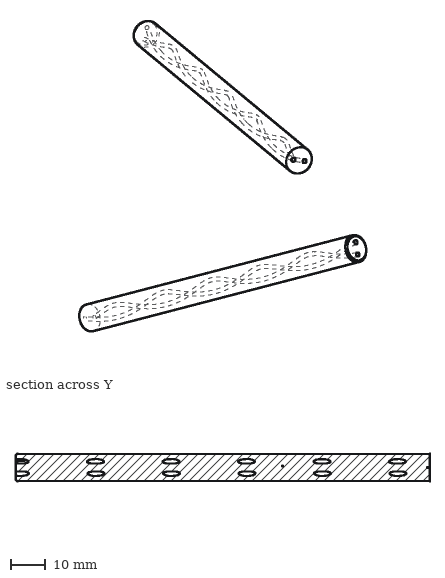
import cadquery as cq
import math

length = 120.0
diameter = 8.0
chamfer = 0.5

hole_diameter = 1.2
hole_circle_diameter = 3.6
hole_tilt = 11.0
helix_angle = 30.0
helix_pitch = math.pi * diameter / math.tan(math.radians(helix_angle))
twist = 360.0 * length / helix_pitch


def make_rod():
    rod = cq.Workplane("YZ", origin=(-length / 2, 0, 0)).circle(diameter / 2).extrude(length)
    return rod.faces("<X").chamfer(chamfer)


def make_holes():
    """Helical bores that run the full length of the rod."""
    radius = hole_circle_diameter / 2
    tilt = math.radians(hole_tilt)
    y = radius * math.sin(tilt)
    z = radius * math.cos(tilt)
    centres = [(y, z), (-y, -z)]
    end_plane = cq.Workplane("YZ", origin=(-length / 2, 0, 0))
    return end_plane.pushPoints(centres).circle(hole_diameter / 2).twistExtrude(length, twist)


result = make_rod().cut(make_holes())